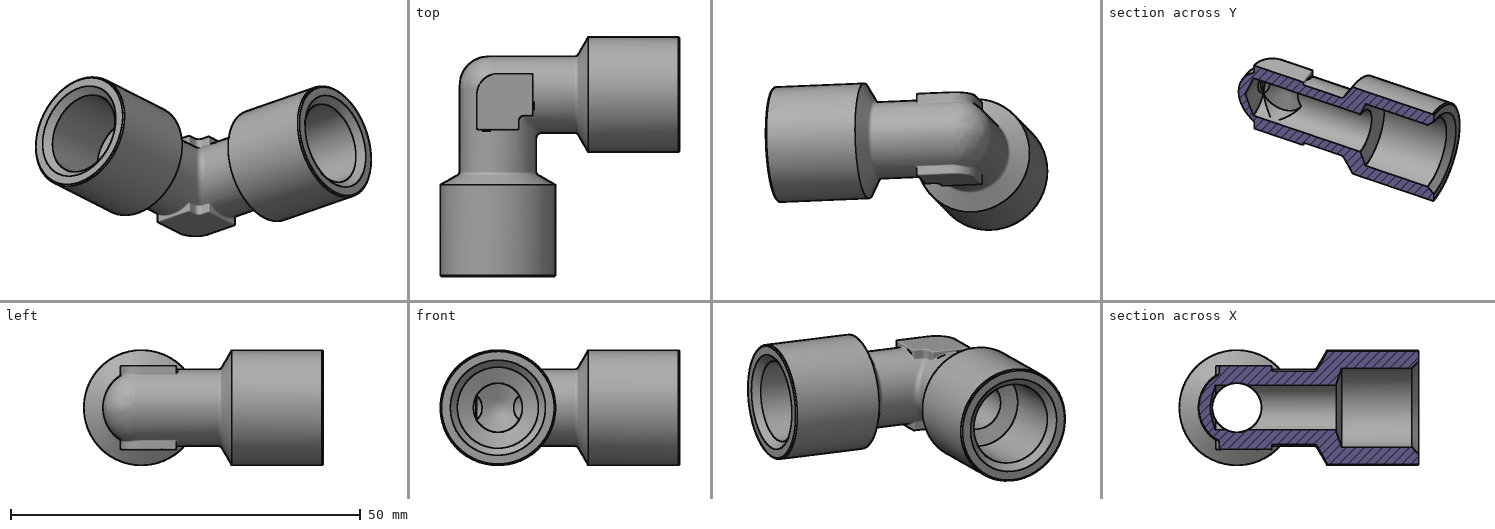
import cadquery as cq
import math

reach = 26.0
tube_dia = 11.0
outer_bend_radius = 4.2
inner_bend_radius = 0.75

socket_dia = 16.5
socket_length = 13.1
shoulder_angle = 60.0
neck_fillet = 0.5
rim_chamfer = 0.2

thread_bore_dia = 11.6
thread_bore_depth = 11.0
mouth_dia = 13.6
passage_dia = 7.0
passage_overrun = 3.05
drill_point_angle = 140.0

pad_height = 6.0
pad_half_width = 3.0
pad_reach = 5.0
pad_notch_radius = 0.75
pad_fillet = 0.2

box_margin = 0.05

tube_radius = tube_dia / 2
socket_radius = socket_dia / 2
thread_bore_radius = thread_bore_dia / 2
mouth_radius = mouth_dia / 2
passage_radius = passage_dia / 2
socket_start = reach - socket_length
shoulder_start = socket_start - (socket_radius - tube_radius) / math.tan(math.radians(shoulder_angle))
thread_bore_end = reach - thread_bore_depth
lead_in_end = reach - (mouth_radius - thread_bore_radius)
point_slope = 1 / math.tan(math.radians(drill_point_angle / 2))
bore_step_end = thread_bore_end - (thread_bore_radius - passage_radius) * point_slope
passage_tip = -passage_overrun - passage_radius * point_slope


def place_on_both_legs(leg):
    """Join a solid built along +X with its half-turned copy along -Y."""
    copy = leg.rotate((0, 0, 0), (1, -1, 0), 180)
    return leg.union(copy)


def revolve_about_x(profile):
    """Revolve a list of (x, radius) points about the X axis."""
    return cq.Workplane("XY").polyline(profile).close().revolve(360, (0, 0, 0), (1, 0, 0))


def nearest(x, y, z):
    """Selector for the edge whose centre is nearest to a point."""
    return cq.selectors.NearestToPointSelector((x, y, z))


def edges_inside(low, high):
    """Selector for edges that lie wholly inside a box, with a small margin."""
    low_corner = tuple(value - box_margin for value in low)
    high_corner = tuple(value + box_margin for value in high)
    return cq.selectors.BoxSelector(low_corner, high_corner, boundingbox=True)


def make_elbow():
    """Round bar following both axes, mitred where they cross."""
    path = cq.Workplane("XY").polyline([(shoulder_start, 0), (0, 0), (0, -shoulder_start)])
    end_plane = cq.Plane(origin=(shoulder_start, 0, 0), xDir=(0, 0, 1), normal=(1, 0, 0))
    section = cq.Workplane(end_plane).circle(tube_radius)
    return section.sweep(path, transition="right")


def make_pad_block():
    """L-shaped block through the elbow whose two ends form the flat pads."""
    w = pad_half_width
    arc_mid = w * math.sqrt(0.5)
    block = (
        cq.Workplane("XY", origin=(0, 0, -pad_height))
        .moveTo(0, w)
        .lineTo(pad_reach, w)
        .lineTo(pad_reach, -w)
        .lineTo(w, -w)
        .lineTo(w, -pad_reach)
        .lineTo(-w, -pad_reach)
        .lineTo(-w, 0)
        .threePointArc((-arc_mid, arc_mid), (0, w))
        .close()
        .extrude(2 * pad_height)
    )
    block = block.edges("|Z").edges(nearest(w, -w, 0)).fillet(pad_notch_radius)
    arm_corners = [(pad_reach, w), (pad_reach, -w), (w, -pad_reach), (-w, -pad_reach)]
    for x, y in arm_corners:
        block = block.edges("|Z").edges(nearest(x, y, 0)).fillet(pad_fillet)
    return block.faces("|Z").edges().fillet(pad_fillet)


def round_mitre(body):
    """Round the outer and inner mitre edges between the two pads."""
    r = tube_radius
    outer_start = pad_half_width * math.sqrt(0.5)
    outer = edges_inside((-r, outer_start, -r), (-outer_start, r, r))
    body = body.edges(outer).fillet(outer_bend_radius)
    inner_start = pad_half_width + pad_notch_radius * (1 - math.sqrt(0.5))
    inner = edges_inside((inner_start, -r, -r), (r, -inner_start, r))
    return body.edges(inner).fillet(inner_bend_radius)


def round_pad_bases(body):
    """Blend the pad walls into the elbow, above and below."""
    w = pad_half_width
    notch_mid = w + pad_notch_radius * (1 - math.sqrt(0.5))
    base_low = math.sqrt(tube_radius**2 - notch_mid**2)
    above = edges_inside((-w, -pad_reach, base_low), (pad_reach, w, tube_radius))
    below = edges_inside((-w, -pad_reach, -tube_radius), (pad_reach, w, -base_low))
    return body.edges(above + below).fillet(pad_fillet)


def make_socket():
    """Enlarged end with its shoulder cone and chamfered rim."""
    return revolve_about_x([
        (shoulder_start, 0),
        (shoulder_start, tube_radius),
        (socket_start, socket_radius),
        (reach - rim_chamfer, socket_radius),
        (reach, socket_radius - rim_chamfer),
        (reach, 0),
    ])


def blend_necks(body):
    """Fillet the corners where the tube meets the shoulder cones."""
    r = tube_radius
    x_neck = edges_inside((shoulder_start, -r, -r), (shoulder_start, r, r))
    y_neck = edges_inside((-r, -shoulder_start, -r), (r, -shoulder_start, r))
    return body.edges(x_neck + y_neck).fillet(neck_fillet)


def make_bore():
    """Lead-in, thread bore and passage, with conical ends to both bores."""
    return revolve_about_x([
        (reach, 0),
        (reach, mouth_radius),
        (lead_in_end, thread_bore_radius),
        (thread_bore_end, thread_bore_radius),
        (bore_step_end, passage_radius),
        (-passage_overrun, passage_radius),
        (passage_tip, 0),
    ])


body = make_elbow().union(make_pad_block())
body = round_mitre(body)
body = round_pad_bases(body)
body = body.union(place_on_both_legs(make_socket()))
body = blend_necks(body)

result = body.cut(place_on_both_legs(make_bore()))